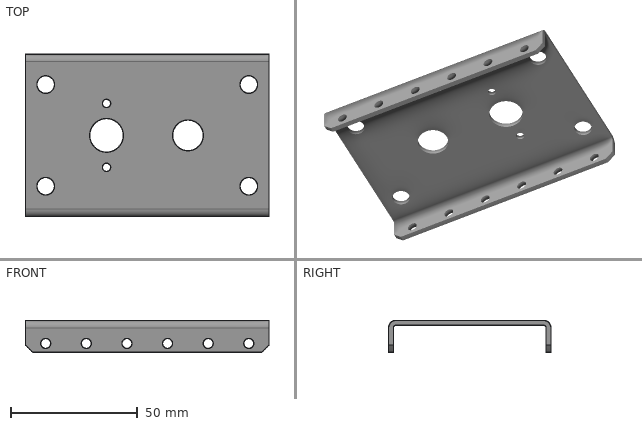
import cadquery as cq

length = 96.0
width = 64.0
height = 12.7
thickness = 2.0

outer_bend_radius = 3.0
inner_bend_radius = outer_bend_radius - thickness
corner_chamfer = 3.0

mount_diameter = 6.8
mount_spacing_x = 80.0
mount_spacing_y = 40.0
large_diameter = 13.2
large_x = -16.0
medium_diameter = 12.0
medium_x = -large_x
pilot_diameter = 3.2
pilot_spacing = 25.2

flange_hole_diameter = 3.8
flange_hole_count = 6
flange_hole_pitch = mount_spacing_x / (flange_hole_count - 1)
flange_hole_height = 3.6


def make_channel():
    """Bent U-channel, open downward, with its feet at Z = 0."""
    outer = (
        cq.Workplane("XY")
        .box(length, width, height, centered=(True, True, False))
        .edges("|X and >Z")
        .fillet(outer_bend_radius)
    )
    inner = (
        cq.Workplane("XY")
        .box(length, width - 2 * thickness, height - thickness, centered=(True, True, False))
        .edges("|X and >Z")
        .fillet(inner_bend_radius)
    )
    return outer.cut(inner).edges("|Y and <Z").chamfer(corner_chamfer)


def web_holes(points, diameter):
    """Vertical cutters through the web."""
    return cq.Workplane("XY").pushPoints(points).circle(diameter / 2).extrude(height)


def flange_holes():
    """Cutters along Y that pass through both flanges."""
    return (
        cq.Workplane("XZ", origin=(0, 0, flange_hole_height))
        .rarray(flange_hole_pitch, 1, flange_hole_count, 1)
        .circle(flange_hole_diameter / 2)
        .extrude(width / 2, both=True)
    )


mount_points = [
    (side_x * mount_spacing_x / 2, side_y * mount_spacing_y / 2)
    for side_x in (-1, 1)
    for side_y in (-1, 1)
]
pilot_points = [(large_x, side_y * pilot_spacing / 2) for side_y in (-1, 1)]

result = (
    make_channel()
    .cut(web_holes(mount_points, mount_diameter))
    .cut(web_holes([(large_x, 0)], large_diameter))
    .cut(web_holes([(medium_x, 0)], medium_diameter))
    .cut(web_holes(pilot_points, pilot_diameter))
    .cut(flange_holes())
)